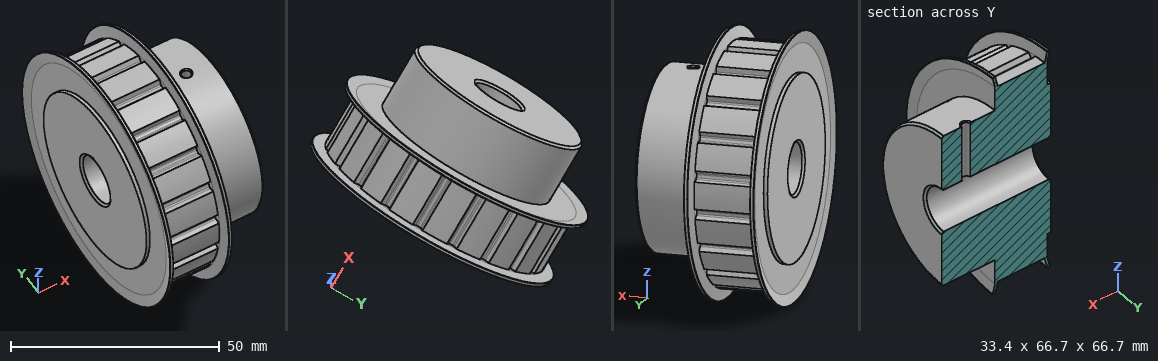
import cadquery as cq
import math

total_length = 33.35
hub_diameter = 46.2
hub_chamfer = 0.6
bore_diameter = 12.7
bore_chamfer = 0.6

tooth_count = 20
rim_diameter = 60.3
rim_start = 1.95
rim_width = 14.2
rim_end = rim_start + rim_width

groove_depth = 1.5
groove_floor_width = 1.32
groove_flank_angle = 25.0
groove_floor_radius = 0.41

flange_diameter = 66.67
flange_bend_diameter = 60.6
flange_thickness = 0.95
flange_dish = 0.72
flange_edge_chamfer = 0.1

screw_x = 25.8
screw_diameter = 2.4
screw_mouth_diameter = 3.1


def x_cylinder(diameter, start, length):
    """Solid cylinder around the X axis."""
    return cq.Workplane("YZ", origin=(start, 0, 0)).circle(diameter / 2).extrude(length)


def make_hub():
    """Full-length hub, chamfered at its free end."""
    return x_cylinder(hub_diameter, 0, total_length).faces(">X").edges().chamfer(hub_chamfer)


def make_groove():
    """Cutter for the groove on the +Z side: straight flanks and a rounded floor."""
    rim_radius = rim_diameter / 2
    floor_z = rim_radius - groove_depth
    cutter_height = 2 * groove_depth
    half_floor = groove_floor_width / 2
    half_mouth = half_floor + cutter_height * math.tan(math.radians(groove_flank_angle))
    return (
        cq.Workplane("YZ", origin=(rim_start, 0, 0))
        .moveTo(-half_floor, floor_z)
        .lineTo(half_floor, floor_z)
        .lineTo(half_mouth, floor_z + cutter_height)
        .lineTo(-half_mouth, floor_z + cutter_height)
        .close()
        .extrude(rim_width)
        .faces("<Z")
        .edges("|X")
        .fillet(groove_floor_radius)
    )


def make_rim():
    """Toothed rim with a tooth centred on the Y and Z axes."""
    rim = x_cylinder(rim_diameter, rim_start, rim_width)
    groove = make_groove()
    pitch_angle = 360 / tooth_count
    for index in range(tooth_count):
        angle = (index + 0.5) * pitch_angle
        rim = rim.cut(groove.rotate((0, 0, 0), (1, 0, 0), angle))
    return rim


def make_flange(inner_x, outward):
    """Flange resting on the rim at inner_x, its edge bent away along outward (-1 or +1)."""
    bend_radius = flange_bend_diameter / 2
    edge_radius = flange_diameter / 2
    chamfer_radius = edge_radius - flange_edge_chamfer
    outer_x = inner_x + outward * flange_thickness
    edge_inner_x = inner_x + outward * flange_dish
    edge_outer_x = outer_x + outward * flange_dish
    chamfer_x = outward * flange_edge_chamfer
    return (
        cq.Workplane("XY")
        .moveTo(inner_x, 0)
        .lineTo(inner_x, bend_radius)
        .lineTo(edge_inner_x, chamfer_radius)
        .lineTo(edge_inner_x + chamfer_x, edge_radius)
        .lineTo(edge_outer_x - chamfer_x, edge_radius)
        .lineTo(edge_outer_x, chamfer_radius)
        .lineTo(outer_x, bend_radius)
        .lineTo(outer_x, 0)
        .close()
        .revolve(360, (0, 0, 0), (1, 0, 0))
    )


def cut_bore(body):
    """Cut the through bore with a chamfer at both ends."""
    bore_radius = bore_diameter / 2
    mouth_radius = bore_radius + bore_chamfer
    cutter = (
        cq.Workplane("XY")
        .moveTo(0, 0)
        .lineTo(0, mouth_radius)
        .lineTo(bore_chamfer, bore_radius)
        .lineTo(total_length - bore_chamfer, bore_radius)
        .lineTo(total_length, mouth_radius)
        .lineTo(total_length, 0)
        .close()
        .revolve(360, (0, 0, 0), (1, 0, 0))
    )
    return body.cut(cutter)


def cut_screw_hole(body):
    """Cut the radial set screw hole from the +Z side into the bore, with a 45 degree countersink."""
    hub_radius = hub_diameter / 2
    screw_radius = screw_diameter / 2
    mouth_radius = screw_mouth_diameter / 2
    sink_depth = mouth_radius - screw_radius
    cutter = (
        cq.Workplane("XZ", origin=(screw_x, 0, 0))
        .moveTo(0, 0)
        .lineTo(screw_radius, 0)
        .lineTo(screw_radius, hub_radius - sink_depth)
        .lineTo(mouth_radius, hub_radius)
        .lineTo(0, hub_radius)
        .close()
        .revolve(360, (0, 0, 0), (0, 1, 0))
    )
    return body.cut(cutter)


pulley = make_hub().union(make_rim())
pulley = pulley.union(make_flange(rim_start, -1))
pulley = pulley.union(make_flange(rim_end, 1))
pulley = cut_bore(pulley)
result = cut_screw_hole(pulley)